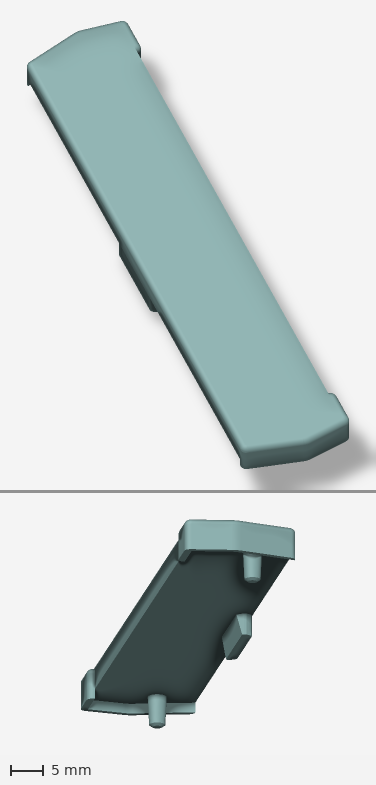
import cadquery as cq
import math

length = 86.4
width = 17.6
total_height = 8.3
plate_thickness = 3.45
skirt_depth = 5.0
end_wall = 0.95
tab_thickness = 1.1
top_round = 0.9
corner_round = 1.0

nose_radius = 3.3
nose_y = 1.2
rear_angle = math.radians(8)
front_angle = math.radians(14.5)

tab_inner_x = 35.8

pin_x = 38.0
pin_y = -2.5
pin_root_diameter = 2.9
pin_tip_diameter = 2.5
pin_bevel_height = 0.35
pin_bevel_width = 0.5

lug_length = 13.4
lug_bottom = 6.8
lug_setback = 0.1
lug_root_depth = 2.4
lug_tip_depth = 1.6
lug_front_taper_x = 0.6
lug_front_taper_y = 1.0
lug_side_length = 0.35
lug_back_taper_x = 0.9
lug_corner_chamfer = 0.3

half_length = length / 2
half_width = width / 2
notch_y = half_width - tab_thickness


def end_profile(inset):
    """Right-hand end face moved inward: front corner, nose start, middle and end, rear corner."""
    radius = nose_radius - inset
    center_x = half_length - nose_radius

    def on_nose(angle):
        return (center_x + radius * math.cos(angle), nose_y + radius * math.sin(angle))

    nose_start = on_nose(-front_angle)
    nose_end = on_nose(rear_angle)
    front_x = nose_start[0] - (nose_start[1] + half_width) * math.tan(front_angle)
    rear_x = nose_end[0] - (half_width - nose_end[1]) * math.tan(rear_angle)
    return [(front_x, -half_width), nose_start, on_nose(0), nose_end, (rear_x, half_width)]


def end_to_end(inset, height):
    """Prism between both bent end faces, each moved inward by the inset, rising from Z = 0."""
    front, nose_start, nose_middle, nose_end, rear = end_profile(inset)

    def mirrored(point):
        return (-point[0], point[1])

    return (
        cq.Workplane("XY")
        .moveTo(*front)
        .lineTo(*nose_start)
        .threePointArc(nose_middle, nose_end)
        .lineTo(*rear)
        .lineTo(*mirrored(rear))
        .lineTo(*mirrored(nose_end))
        .threePointArc(mirrored(nose_middle), mirrored(nose_start))
        .lineTo(*mirrored(front))
        .close()
        .extrude(height)
    )


def box(x_size, y_min, y_max, z_min, z_max):
    """Box centred on X = 0."""
    return (
        cq.Workplane("XY")
        .box(x_size, y_max - y_min, z_max - z_min, centered=(True, False, False))
        .translate((0, y_min, z_min))
    )


def make_shell():
    """Plate with end walls and rear tabs, rounded along its outer top edge."""
    shell = end_to_end(0, skirt_depth).translate((0, 0, -skirt_depth))
    shell = shell.cut(box(2 * tab_inner_x, notch_y, half_width, -skirt_depth, 0))
    shell = shell.edges("|Z").edges("<Y or >Y").fillet(corner_round)
    notch_edge = cq.selectors.NearestToPointSelector((0, notch_y, 0))
    top_edges = cq.selectors.DirectionMinMaxSelector(cq.Vector(0, 0, 1))
    outer_top_edges = cq.selectors.SubtractSelector(top_edges, notch_edge)
    shell = shell.edges(outer_top_edges).fillet(top_round)

    recess_height = skirt_depth - plate_thickness
    recess = end_to_end(end_wall, recess_height)
    recess = recess.cut(box(length, notch_y, half_width, 0, recess_height))
    return shell.cut(recess.translate((0, 0, -skirt_depth)))


def make_pin(x):
    """Tapered round pin under the plate, with a bevelled tip."""
    root_radius = pin_root_diameter / 2
    tip_radius = pin_tip_diameter / 2
    tip_z = -total_height
    rim_z = tip_z + pin_bevel_height
    half_profile = (
        cq.Workplane("XZ")
        .moveTo(0, -plate_thickness)
        .lineTo(root_radius, -plate_thickness)
        .lineTo(tip_radius, rim_z)
        .lineTo(tip_radius - pin_bevel_width, tip_z)
        .lineTo(0, tip_z)
        .close()
    )
    return half_profile.revolve(360, (0, 0), (0, 1)).translate((x, pin_y, 0))


def make_lug():
    """Block under the front edge, with tapered ends and a sloping back."""
    front_y = -half_width + lug_setback
    side_front_y = front_y + lug_front_taper_y
    side_back_y = side_front_y + lug_side_length
    back_y = front_y + lug_root_depth
    side_x = lug_length / 2
    front_x = side_x - lug_front_taper_x
    back_x = side_x - lug_back_taper_x
    right_end = [(front_x, front_y), (side_x, side_front_y), (side_x, side_back_y), (back_x, back_y)]
    left_end = [(-x, y) for x, y in reversed(right_end)]
    plan = (
        cq.Workplane("XY", origin=(0, 0, -lug_bottom))
        .polyline(right_end + left_end)
        .close()
        .extrude(lug_bottom - plate_thickness)
        .faces("<Y")
        .edges("|Z")
        .chamfer(lug_corner_chamfer)
    )
    side_profile = (
        cq.Workplane("YZ", origin=(-side_x, 0, 0))
        .moveTo(front_y, -plate_thickness)
        .lineTo(back_y, -plate_thickness)
        .lineTo(front_y + lug_tip_depth, -lug_bottom)
        .lineTo(front_y, -lug_bottom)
        .close()
        .extrude(lug_length)
    )
    return plan.intersect(side_profile)


result = make_shell().union(make_lug())
for side in (-1, 1):
    result = result.union(make_pin(side * pin_x))